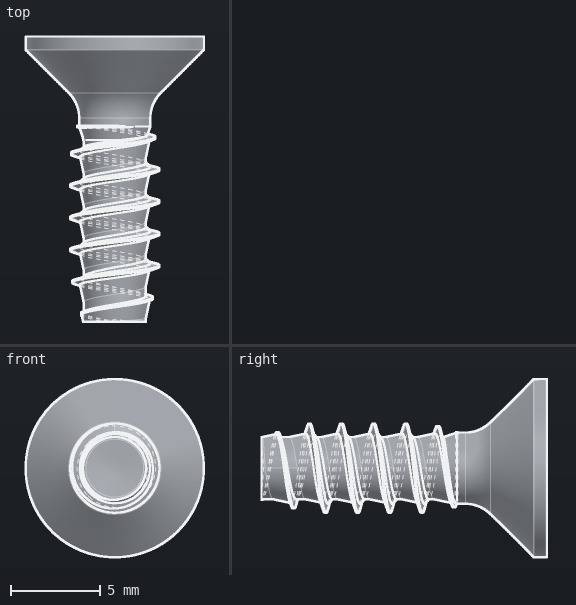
import cadquery as cq
import math

LENGTH = 16.0

HEAD_RADIUS = 5.0
HEAD_RIM_HEIGHT = 0.75
HEAD_EDGE_FILLET = 0.05
CONE_HALF_ANGLE = math.radians(45)

SHANK_RADIUS = 2.0
NECK_FILLET = 2.0
SHANK_END_DEPTH = 5.05
NECK_TAPER_END_DEPTH = 5.8

CORE_RADIUS = 1.75
STEP_RADIUS = 1.98
STEP_TAPER_LENGTH = 1.08
STEP_CREST_OFFSET = 0.05
STEP_RISE_LENGTH = 0.2
STEP_OVERLAP_FACTOR = 1.2
STEP_START_TURN = -1.0
STEP_FADE_START_TURN = 5.0
STEP_FADE_PER_TURN = 0.24

PITCH = 1.8
THREAD_RADIUS = 2.5
CREST_DEPTH_AT_PLUS_X = 5.66
CREST_HALF_WIDTH = 0.04
FLANK_BREAK_RADIUS = 2.0
HEAD_FLANK_BREAK_OFFSET = 0.15
HEAD_FLANK_ROOT_OFFSET = 0.6
TIP_FLANK_ROOT_OFFSET = 0.36
ROOT_RADIUS = 1.5

RUN_IN_START_TURN = -0.85
RUN_IN_END_TURN = 0.6
RUN_IN_DROP = 0.52
RUN_OUT_START_TURN = 4.25
RUN_OUT_END_TURN = 5.9
RUN_OUT_DROP = 0.79
LEVEL_START_END_TURN = (SHANK_END_DEPTH - CREST_DEPTH_AT_PLUS_X) / PITCH

TIP_DISH_RADIUS = 1.62
TIP_DISH_DEPTH = 0.13

POINTS_PER_TURN = 24


def revolve_about_y(profile):
    return profile.close().revolve(360, (0, 0, 0), (0, 1, 0))


def make_head_and_core():
    """Head, neck, shank and plain core as one turned body, with the rim edges rounded."""
    fillet_drop = NECK_FILLET * (1 - math.cos(CONE_HALF_ANGLE))
    neck_radius = SHANK_RADIUS + fillet_drop
    neck_depth = HEAD_RIM_HEIGHT + (HEAD_RADIUS - neck_radius) / math.tan(CONE_HALF_ANGLE)
    shank_depth = neck_depth + NECK_FILLET * math.sin(CONE_HALF_ANGLE)
    arc_middle_angle = CONE_HALF_ANGLE / 2
    arc_radius = SHANK_RADIUS + NECK_FILLET * (1 - math.cos(arc_middle_angle))
    arc_depth = shank_depth - NECK_FILLET * math.sin(arc_middle_angle)

    profile = (
        cq.Workplane("XY")
        .lineTo(HEAD_RADIUS, 0)
        .lineTo(HEAD_RADIUS, -HEAD_RIM_HEIGHT)
        .lineTo(neck_radius, -neck_depth)
        .threePointArc((arc_radius, -arc_depth), (SHANK_RADIUS, -shank_depth))
        .lineTo(SHANK_RADIUS, -SHANK_END_DEPTH)
        .lineTo(CORE_RADIUS, -NECK_TAPER_END_DEPTH)
        .lineTo(CORE_RADIUS, -LENGTH)
        .lineTo(0, -LENGTH)
    )
    body = revolve_about_y(profile)
    rim_edges = cq.selectors.RadiusNthSelector(-1)
    return body.edges(rim_edges).fillet(HEAD_EDGE_FILLET)


def helix_point(turn, radius, offset, depth_at):
    """Point on a helix that turns from +X to +Z as it advances toward the tip."""
    angle = 2 * math.pi * turn
    depth = depth_at(turn) + offset
    return cq.Vector(radius * math.cos(angle), -depth, radius * math.sin(angle))


def helical_edge(start, end, corner, drop_at, depth_at):
    """Curve traced by one profile corner, given as (radius, axial offset)."""
    radius, offset = corner
    steps = math.ceil((end - start) * POINTS_PER_TURN)
    turns = [start + (end - start) * i / steps for i in range(steps + 1)]
    return cq.Edge.makeSpline([helix_point(t, radius - drop_at(t), offset, depth_at) for t in turns])


def helical_solid(profile, sections, drop_at, depth_at):
    """Solid swept by a closed profile through consecutive helical sections."""
    faces = []
    for start, end in zip(sections, sections[1:]):
        edges = [helical_edge(start, end, corner, drop_at, depth_at) for corner in profile]
        for edge, neighbour in zip(edges, edges[1:] + edges[:1]):
            faces.append(cq.Face.makeRuledSurface(edge, neighbour))
    for turn in (sections[0], sections[-1]):
        corners = [
            helix_point(turn, radius - drop_at(turn), offset, depth_at)
            for radius, offset in profile
        ]
        faces.append(cq.Face.makeFromWires(cq.Wire.makePolygon(corners, close=True)))
    solid = cq.Solid.makeSolid(cq.Shell.makeShell(faces))
    return cq.Workplane(solid.fix())


def thread_drop(turn):
    """Radial drop of the thread profile: zero except at its two ends."""
    if turn < RUN_IN_END_TURN:
        return RUN_IN_DROP * (RUN_IN_END_TURN - turn) / (RUN_IN_END_TURN - RUN_IN_START_TURN)
    if turn > RUN_OUT_START_TURN:
        return RUN_OUT_DROP * (turn - RUN_OUT_START_TURN) / (RUN_OUT_END_TURN - RUN_OUT_START_TURN)
    return 0.0


def step_drop(turn):
    """Radial drop of the core step: zero except near the tip."""
    return STEP_FADE_PER_TURN * max(turn - STEP_FADE_START_TURN, 0.0)


def crest_depth(turn):
    """Depth of the thread crest on a steady helix; turn 0 is on the +X side."""
    return CREST_DEPTH_AT_PLUS_X + PITCH * turn


def thread_depth(turn):
    """Crest depth, held level at the end of the shank where the thread starts."""
    return max(crest_depth(turn), SHANK_END_DEPTH)


def make_step():
    """Saw-toothed step; its taper runs on below the core surface so that it fuses cleanly."""
    buried_length = STEP_TAPER_LENGTH * STEP_OVERLAP_FACTOR
    buried_drop = (STEP_RADIUS - CORE_RADIUS) * STEP_OVERLAP_FACTOR
    profile = [
        (ROOT_RADIUS, STEP_CREST_OFFSET - STEP_RISE_LENGTH),
        (STEP_RADIUS, STEP_CREST_OFFSET),
        (STEP_RADIUS - buried_drop, STEP_CREST_OFFSET + buried_length),
        (ROOT_RADIUS, STEP_CREST_OFFSET + buried_length),
    ]
    sections = [STEP_START_TURN, STEP_FADE_START_TURN, RUN_OUT_END_TURN]
    return helical_solid(profile, sections, step_drop, crest_depth)


def make_thread():
    """Thread ridge with a narrow crest and a head-side flank that flares out at its root."""
    profile = [
        (ROOT_RADIUS, -HEAD_FLANK_ROOT_OFFSET),
        (FLANK_BREAK_RADIUS, -HEAD_FLANK_BREAK_OFFSET),
        (THREAD_RADIUS, -CREST_HALF_WIDTH),
        (THREAD_RADIUS, CREST_HALF_WIDTH),
        (ROOT_RADIUS, TIP_FLANK_ROOT_OFFSET),
    ]
    sections = [
        RUN_IN_START_TURN,
        LEVEL_START_END_TURN,
        RUN_IN_END_TURN,
        RUN_OUT_START_TURN,
        RUN_OUT_END_TURN,
    ]
    return helical_solid(profile, sections, thread_drop, thread_depth)


def make_overrun():
    """Stock beyond the tip plane, to trim the helical solids flush."""
    return cq.Workplane("XZ", origin=(0, -LENGTH, 0)).circle(HEAD_RADIUS).extrude(2 * PITCH)


def make_tip_dish():
    """Shallow cone sunk into the tip, leaving a flat rim around it."""
    profile = (
        cq.Workplane("XY")
        .moveTo(0, -LENGTH)
        .lineTo(TIP_DISH_RADIUS, -LENGTH)
        .lineTo(0, TIP_DISH_DEPTH - LENGTH)
    )
    return revolve_about_y(profile)


screw = make_head_and_core().union(make_step()).union(make_thread())
result = screw.cut(make_overrun()).cut(make_tip_dish())